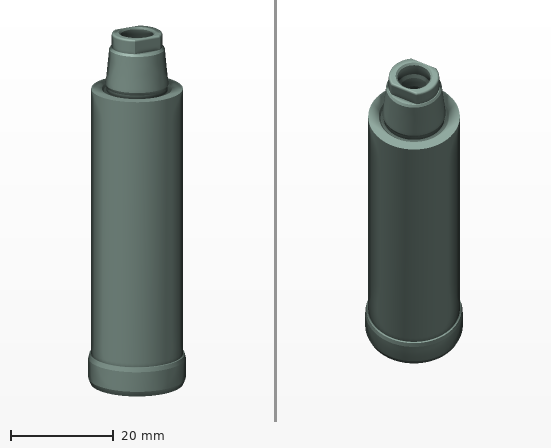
import cadquery as cq

total_height = 71.45
collar_radius = 9.5
collar_height = 5.9
collar_top_drop = 0.85
collar_top_radius = 9.3
collar_bottom_rise = 1.1
collar_bottom_radius = 9.1

body_radius = 8.9
body_top = 60.0

groove_radius = 6.85
groove_floor_radius = 6.5
groove_depth = 0.35
neck_foot_radius = 5.9

taper_bottom = 61.0
taper_bottom_radius = 6.15
undercut_top = 60.45
taper_top_radius = 5.4
shoulder_radius = 5.1
shoulder_bevel = 0.4

tip_radius = 4.9
tip_height = 2.85
tip_rounding = 0.4
flats_width = 8.15

mouth_radius = 3.6
mouth_bevel = 0.35
bore_radius = mouth_radius - mouth_bevel
bore_depth = 2.85
step_radius = 2.7
step_depth = 3.4
cone_end_depth = 5.0
through_radius = 2.0

shoulder = total_height - tip_height


def make_outer_body():
    """Revolve the half profile of the collar, body, groove and neck."""
    profile = (
        cq.Workplane("XZ")
        .lineTo(collar_bottom_radius, 0)
        .lineTo(collar_radius, collar_bottom_rise)
        .lineTo(collar_radius, collar_height - collar_top_drop)
        .lineTo(collar_top_radius, collar_height)
        .lineTo(body_radius, collar_height)
        .lineTo(body_radius, body_top)
        .lineTo(groove_radius, body_top)
        .lineTo(groove_floor_radius, body_top - groove_depth)
        .lineTo(neck_foot_radius, body_top - groove_depth)
        .lineTo(neck_foot_radius, undercut_top)
        .lineTo(taper_bottom_radius, taper_bottom)
        .lineTo(taper_top_radius, shoulder - shoulder_bevel)
        .lineTo(shoulder_radius, shoulder)
        .lineTo(0, shoulder)
        .close()
    )
    return profile.revolve(360, (0, 0, 0), (0, 1, 0))


def make_tip():
    """Cylinder cut to two flats facing -X and +X, with a rounded top edge."""
    flats = (
        cq.Workplane("XY", origin=(0, 0, shoulder))
        .rect(flats_width, 2 * tip_radius)
        .extrude(tip_height)
    )
    tip = (
        cq.Workplane("XY", origin=(0, 0, shoulder))
        .circle(tip_radius)
        .extrude(tip_height)
        .intersect(flats)
    )
    return tip.faces(">Z").edges().fillet(tip_rounding)


def make_bore():
    """Bevelled mouth, conical steps and a narrow hole through the whole length."""
    profile = (
        cq.Workplane("XZ")
        .lineTo(through_radius, 0)
        .lineTo(through_radius, total_height - cone_end_depth)
        .lineTo(step_radius, total_height - step_depth)
        .lineTo(bore_radius, total_height - bore_depth)
        .lineTo(bore_radius, total_height - mouth_bevel)
        .lineTo(mouth_radius, total_height)
        .lineTo(0, total_height)
        .close()
    )
    return profile.revolve(360, (0, 0, 0), (0, 1, 0))


result = make_outer_body().union(make_tip()).cut(make_bore())